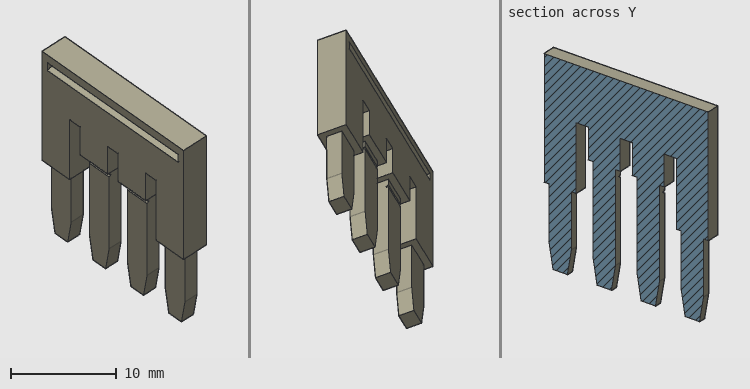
import cadquery as cq

width = 19.4
depth = 3.0
height = 22.98

housing_height = 13.9
leg_width = 3.8
inner_leg_width = 3.81
crotch_drop = 6.27
inner_leg_drop = 9.81

pin_pitch = 5.2
pin_count = 4
pin_width = 2.71
pin_tip_width = 1.75
pin_taper_height = 2.87
pin_front = 0.71
pin_thickness = 1.59

groove_length = 17.92
groove_top_drop = 0.99
groove_height = 0.99
groove_depth = 0.99
groove_roof_drop = 0.28
groove_floor_rise = 0.37

notch_top_drop = 10.62
notch_height = 0.35
notch_depth = 0.23
notch_apex_drop = 0.18

pin_centers = [(i - (pin_count - 1) / 2) * pin_pitch for i in range(pin_count)]
inner_centers = pin_centers[1:-1]


def box(x_center, x_size, y_min, y_size, z_top, z_size):
    """Box centred in X, starting at y_min and hanging down from z_top."""
    return cq.Workplane("XY").box(x_size, y_size, z_size, centered=(True, False, False)).translate(
        (x_center, y_min, z_top - z_size)
    )


def prism_along_x(x_center, length, profile):
    """Prism of the given (Y, Z) profile, centred at x_center along X."""
    prism = cq.Workplane("YZ").polyline(profile).close().extrude(length)
    return prism.translate((x_center - length / 2, 0, 0))


def groove():
    """Cutter for the long groove, narrowing toward its back wall."""
    top = height - groove_top_drop
    bottom = top - groove_height
    profile = [
        (0, top),
        (groove_depth, top - groove_roof_drop),
        (groove_depth, bottom + groove_floor_rise),
        (0, bottom),
    ]
    return prism_along_x(0, groove_length, profile)


def notch(x_center):
    """Cutter for the V notch across the front of one pin."""
    top = height - notch_top_drop
    profile = [
        (pin_front, top),
        (pin_front + notch_depth, top - notch_apex_drop),
        (pin_front, top - notch_height),
    ]
    return prism_along_x(x_center, pin_width, profile)


def pin(x_center):
    """Flat pin with a tapered tip, rooted inside the housing below the crotches."""
    shoulder = pin_width / 2
    tip = pin_tip_width / 2
    root = height - crotch_drop
    profile = [
        (-shoulder, root),
        (-shoulder, pin_taper_height),
        (-tip, 0),
        (tip, 0),
        (shoulder, pin_taper_height),
        (shoulder, root),
    ]
    blade = cq.Workplane("XZ").polyline(profile).close().extrude(-pin_thickness)
    return blade.translate((x_center, pin_front, 0))


result = box(0, width, 0, depth, height, crotch_drop)
for side in (-1, 1):
    leg_center = side * (width - leg_width) / 2
    result = result.union(box(leg_center, leg_width, 0, depth, height, housing_height))
for x in inner_centers:
    result = result.union(box(x, inner_leg_width, 0, depth, height, inner_leg_drop))

for x in pin_centers:
    result = result.union(pin(x))

result = result.cut(groove())
for x in inner_centers:
    result = result.cut(notch(x))

result = result.translate((0, -depth / 2, 0))